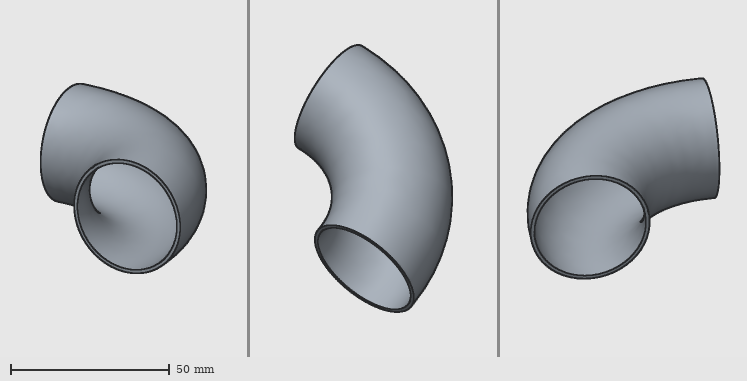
import cadquery as cq
import math

outer_diameter = 38.1
inner_diameter = 35.7
bend_radius = 45.5
bend_angle = 88.5
collar_length = 1.2


def point_on_bend(angle):
    """Point on the centreline arc, which is centred on the origin."""
    turn = math.radians(angle)
    return (bend_radius * math.cos(turn), bend_radius * math.sin(turn))


end_turn = math.radians(bend_angle)
arc_end_x, arc_end_y = point_on_bend(bend_angle)
far_end = (
    arc_end_x - collar_length * math.sin(end_turn),
    arc_end_y + collar_length * math.cos(end_turn),
)
centreline = (
    cq.Workplane("XY")
    .moveTo(bend_radius, -collar_length)
    .lineTo(bend_radius, 0)
    .threePointArc(point_on_bend(bend_angle / 2), (arc_end_x, arc_end_y))
    .lineTo(*far_end)
)

result = (
    cq.Workplane("XZ", origin=(bend_radius, -collar_length, 0))
    .circle(outer_diameter / 2)
    .circle(inner_diameter / 2)
    .sweep(centreline)
)